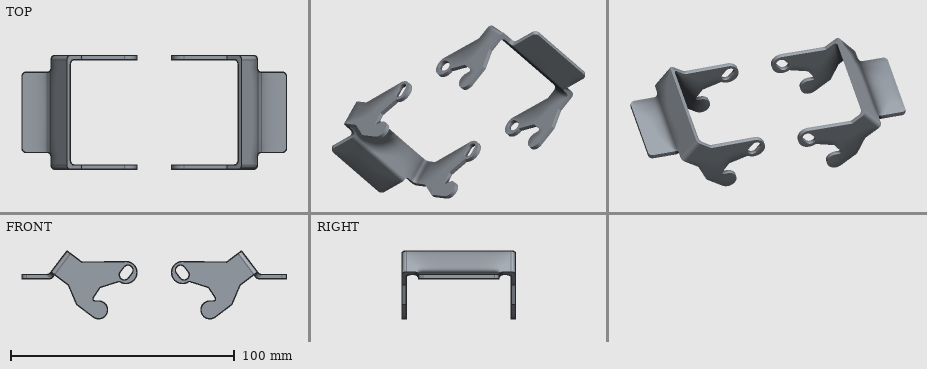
import cadquery as cq
import math

overall_length = 118.5
bracket_width = 51.0
thickness = 2.0
bend_radius = 2.0

wall_angle = 53.0
wall_height = 11.9
wall_corner_x = -46.2
wall_corner_z = 3.1

tab_width = 36.0
tab_corner_radius = 2.0
tab_relief_radius = 2.0

shoulder_distance = 8.3
back_distance = 9.7
eye_x = -12.7
eye_z = 2.8
eye_radius = 5.0
slot_x = -12.6
slot_radius = 2.3
slot_center_distance = 2.6
eye_top_x = -13.4
eye_neck_x = -15.6
arm_root = (-24.3, -3.9)
hook_x = -24.9
hook_z = -13.9
hook_radius = 4.0
heel_x = -34.7
throat_x = -28.2
throat_radius = 1.0

up_x = math.cos(math.radians(wall_angle))
up_z = math.sin(math.radians(wall_angle))
inward_x = up_z
inward_z = -up_x


def wall_point(inward, up):
    """XZ point measured from the wall's lower outer corner."""
    return (
        wall_corner_x + inward * inward_x + up * up_x,
        wall_corner_z + inward * inward_z + up * up_z,
    )


def wall_plane(normal, inward, up):
    """Plane on the wall's lower outer corner, offset by inward and up."""
    x, z = wall_point(inward, up)
    if normal == "up":
        return cq.Plane((x, 0, z), (inward_x, 0, inward_z), (up_x, 0, up_z))
    return cq.Plane((x, 0, z), (0, 1, 0), (inward_x, 0, inward_z))


def extrude_across(profile, width):
    """Extrude an XZ profile symmetrically about Y = 0."""
    return profile.extrude(width / 2, both=True)


def make_leg_outline():
    """Side outline of the wall and legs, filled across the whole width."""
    hook_tangent = (hook_x - hook_radius * up_x, hook_z - hook_radius * up_z)
    heel = (heel_x, hook_tangent[1] + (heel_x - hook_tangent[0]) * inward_z / inward_x)
    hook_top = hook_z + hook_radius
    top_z = eye_z + math.sqrt(eye_radius**2 - (eye_top_x - eye_x) ** 2)
    neck_z = eye_z - math.sqrt(eye_radius**2 - (eye_neck_x - eye_x) ** 2)
    profile = (
        cq.Workplane("XZ")
        .moveTo(*wall_point(0, 0))
        .lineTo(*wall_point(0, wall_height))
        .lineTo(*wall_point(shoulder_distance, wall_height))
        .lineTo(eye_top_x, top_z)
        .threePointArc((eye_x + eye_radius, eye_z), (eye_neck_x, neck_z))
        .lineTo(*arm_root)
        .lineTo(throat_x, hook_top)
        .lineTo(hook_x, hook_top)
        .threePointArc((hook_x + hook_radius, hook_z), hook_tangent)
        .lineTo(*heel)
        .lineTo(*wall_point(back_distance, 0))
        .close()
    )
    outline = extrude_across(profile, bracket_width)
    throat_edge = cq.selectors.NearestToPointSelector((throat_x, 0, hook_top))
    return outline.edges("|Y").edges(throat_edge).fillet(throat_radius)


def make_channel():
    """U-shaped sheet of the wall and two legs, swept along the wall's up direction."""
    reach = overall_length / 2

    def block(start, width, radius):
        return (
            cq.Workplane(wall_plane("up", start, 0))
            .rect(2 * reach, width)
            .extrude(reach, both=True)
            .translate((reach * inward_x, 0, reach * inward_z))
            .edges(cq.selectors.ParallelDirSelector(cq.Vector(up_x, 0, up_z)))
            .fillet(radius)
        )

    outer = block(0, bracket_width, bend_radius)
    inner = block(thickness, bracket_width - 2 * thickness, bend_radius)
    return outer.cut(inner)


def cut_slot(body):
    """Slot through both eyes, parallel to the wall."""
    slot = extrude_across(
        cq.Workplane("XZ")
        .center(slot_x, eye_z)
        .slot2D(slot_center_distance + 2 * slot_radius, 2 * slot_radius, wall_angle),
        bracket_width,
    )
    return body.cut(slot)


def make_bent_strip(width):
    """Tab profile: a flat strip bent up to end on the wall's bottom edge."""
    outer_end = -overall_length / 2
    upper_x = wall_corner_x + (thickness - wall_corner_z) * up_x / up_z
    lower_x = wall_corner_x - wall_corner_z * up_x / up_z + thickness / up_z
    strip = extrude_across(
        cq.Workplane("XZ").polyline([
            (outer_end, 0),
            (outer_end, thickness),
            (upper_x, thickness),
            wall_point(0, 0),
            wall_point(thickness, 0),
            (lower_x, 0),
        ]).close(),
        width,
    )
    upper_edge = cq.selectors.NearestToPointSelector((upper_x, 0, thickness))
    lower_edge = cq.selectors.NearestToPointSelector((lower_x, 0, 0))
    strip = strip.edges("|Y").edges(upper_edge).fillet(bend_radius)
    return strip.edges("|Y").edges(lower_edge).fillet(bend_radius)


def make_tab():
    """Bent tab with rounded outer corners and flared sides where it joins the wall."""
    tab = make_bent_strip(tab_width).edges("|Z and <X").fillet(tab_corner_radius)
    flare_width = tab_width + 2 * tab_relief_radius
    half_tab = tab_width / 2
    half_flare = flare_width / 2
    diagonal = tab_relief_radius * math.sqrt(0.5)
    flare_zone = (
        cq.Workplane(wall_plane("inward", -thickness, 0))
        .moveTo(-half_flare, 0)
        .lineTo(half_flare, 0)
        .threePointArc(
            (half_flare - diagonal, diagonal - tab_relief_radius),
            (half_tab, -tab_relief_radius),
        )
        .lineTo(-half_tab, -tab_relief_radius)
        .threePointArc(
            (diagonal - half_flare, diagonal - tab_relief_radius),
            (-half_flare, 0),
        )
        .close()
        .extrude(3 * thickness)
    )
    flare = make_bent_strip(flare_width).intersect(flare_zone)
    return tab.union(flare)


def make_bracket():
    """Left bracket: wall, two hooked legs and tab in one bent sheet."""
    frame = cut_slot(make_leg_outline().intersect(make_channel()))
    return frame.union(make_tab())


left_bracket = make_bracket()
right_bracket = left_bracket.mirror("YZ")

result = cq.Compound.makeCompound([left_bracket.val(), right_bracket.val()])